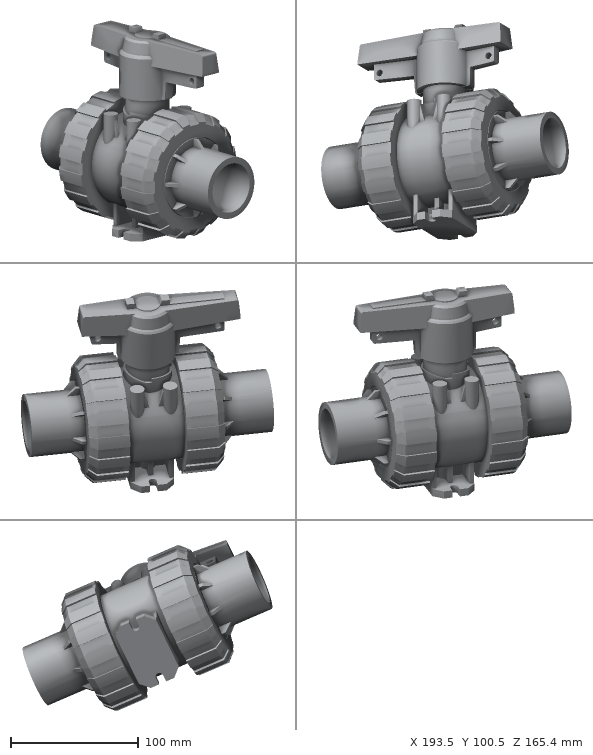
import cadquery as cq


total_length = 193.5
bore_radius = 20.0
pipe_radius = 25.0

nut_outer_radius = 50.5
nut_inner_end = 22.8
nut_outer_end = 54.4
nut_chamfer = 6.0
nut_bore_radius = 77.2 / 2
nut_mouth_radius = 65.0 / 2
nut_wall = 5.8
nut_slot_count = 16
nut_slot_width = 9.7
nut_slot_depth = 2.0

hub_radius = 32.0
collar_thickness = 7.7
fin_count = 8
fin_thickness = 2.7
fin_radius = 31.5
fin_start = 64.5
fin_full_height = 57.9

barrel_radius = 76.2 / 2
barrel_half_length = nut_outer_end - nut_wall - collar_thickness
neck_radius = 35.0 / 2
neck_top = 72.5

ratchet_radius = 19.4
ratchet_high = 46.0
ratchet_low = 42.5
ratchet_flat = 5.6
ratchet_count = 4

post_radius = 11.5 / 2
post_x = 13.2
post_y = 27.0
post_top = 43.3
gusset_thickness = 2.7
gusset_top = 38.9
gusset_foot = 25.7
gusset_reach = 3.7
gusset_offset = 2.1

foot_bottom = -56.1
foot_top = -50.0
foot_length = 34.6
foot_width = 56.9
foot_chamfer = 7.2
foot_notch_width = 6.2
foot_notch_depth = 8.9
side_plate_thickness = 3.5
side_plate_width = 41.5
web_thickness = 4.0
cross_web_width = 29.0
foot_boss_radius = 6.2

skirt_radius = 22.3
skirt_bottom = 57.3
shoulder_bottom = 91.1
shoulder_top = 92.7
shoulder_radius = 21.0
cone_bottom = 93.7
cone_bottom_radius = 20.0
cone_top = 103.0
cone_top_radius = 18.0
crown_radius = 16.0
hub_slot_width = 10.0
hub_slot_top = 86.5

grip_top = 104.5
grip_bottom = 85.1
grip_left = -54.4
grip_right = 73.0
grip_left_bottom = 87.3
grip_right_bottom = 87.7
grip_end_lean = 1.4
grip_end_lip = 1.7
grip_end_round = 1.7
grip_half_width_top = 12.0
grip_half_width_bottom = 14.3
grip_plan_slope = 0.067

key_width = 8.1
key_left = -45.7
key_right = 61.0
key_end_bottom = 74.3
key_round = 1.7
key_hole_diameter = 5.5
key_hole_left = -40.5
key_hole_right = 55.7
key_hole_z = 79.5
tab_left = -24.2
tab_right = 25.5
tab_right_foot = 24.4
tab_chamfer = 1.0
cap_radius = 10.0
cap_top = 105.5
lug_top = 109.3
lug_outer = 17.2
lug_inner_top = 10.8
lug_inner_foot = 9.3


def cylinder_x(radius, x_start, x_end):
    return cq.Workplane("YZ").workplane(offset=x_start).circle(radius).extrude(x_end - x_start)


def cylinder_z(radius, z_start, z_end, x=0.0, y=0.0):
    return cq.Workplane("XY").workplane(offset=z_start).center(x, y).circle(radius).extrude(z_end - z_start)


def block(x_size, y_size, z_start, z_end, x=0.0, y=0.0):
    outline = cq.Workplane("XY").workplane(offset=z_start).center(x, y).rect(x_size, y_size)
    return outline.extrude(z_end - z_start)


def plate_xz(points, thickness):
    """Flat plate with its outline in the XZ plane, centred on Y = 0."""
    return cq.Workplane("XZ").polyline(points).close().extrude(thickness / 2, both=True)


def turned_about_z(shape, angle):
    return shape.rotate((0, 0, 0), (0, 0, 1), angle)


def turned_about_x(shape, angle):
    return shape.rotate((0, 0, 0), (1, 0, 0), angle)



def make_nut():
    """Nut on the -X end, with grip slots that follow its chamfered profile."""
    chamfer_end = nut_outer_end - nut_chamfer
    face_radius = nut_outer_radius - nut_chamfer
    nut = (
        cq.Workplane("XZ")
        .polyline([
            (-nut_inner_end, 0),
            (-nut_inner_end, nut_outer_radius),
            (-chamfer_end, nut_outer_radius),
            (-nut_outer_end, face_radius),
            (-nut_outer_end, 0),
        ])
        .close()
        .revolve(360, (0, 0, 0), (1, 0, 0))
    )
    nut = nut.cut(cylinder_x(nut_bore_radius, nut_wall - nut_outer_end, -nut_inner_end))
    nut = nut.cut(cylinder_x(nut_mouth_radius, -nut_outer_end, -nut_inner_end))

    beyond = 2 * nut_outer_radius
    slot = plate_xz(
        [
            (-nut_inner_end, nut_outer_radius - nut_slot_depth),
            (-chamfer_end, nut_outer_radius - nut_slot_depth),
            (-nut_outer_end, face_radius - nut_slot_depth),
            (-nut_outer_end, beyond),
            (-nut_inner_end, beyond),
        ],
        nut_slot_width,
    )
    for index in range(nut_slot_count):
        nut = nut.cut(turned_about_x(slot, index * 360 / nut_slot_count))
    return nut



def make_connector():
    """Pipe end on the -X side: pipe, hub in the nut mouth, and collar held behind the nut wall."""
    collar_outer = nut_wall - nut_outer_end
    connector = cylinder_x(pipe_radius, -total_length / 2, -barrel_half_length)
    connector = connector.union(cylinder_x(hub_radius, -nut_outer_end, -barrel_half_length))
    connector = connector.union(cylinder_x(barrel_radius, collar_outer, -barrel_half_length))

    root_radius = (bore_radius + pipe_radius) / 2
    fin = plate_xz(
        [
            (-fin_start, root_radius),
            (-fin_start, pipe_radius),
            (-fin_full_height, fin_radius),
            (collar_outer, fin_radius),
            (collar_outer, root_radius),
        ],
        fin_thickness,
    )
    for index in range(fin_count):
        connector = connector.union(turned_about_x(fin, index * 360 / fin_count))
    return connector.cut(cylinder_x(bore_radius, -total_length / 2, 0))



def make_ratchet():
    """Ring of four ramps, each a quarter turn long and ending in a step."""
    ring = cylinder_z(ratchet_radius, 0, ratchet_high)
    ramp = (
        cq.Workplane("XZ")
        .polyline([
            (0, 0),
            (ratchet_radius, 0),
            (ratchet_radius, ratchet_high),
            (ratchet_flat, ratchet_low),
            (0, ratchet_low),
        ])
        .close()
        .extrude(-ratchet_radius)
        .intersect(ring)
    )
    ratchet = ramp
    for index in range(1, ratchet_count):
        ratchet = ratchet.union(turned_about_z(ramp, index * 360 / ratchet_count))
    return ratchet


def make_gusset():
    """Tapered gusset against a post at the origin, pointing along +X and carried down into the barrel."""
    inside = post_radius / 2
    return plate_xz(
        [
            (inside, 0),
            (inside, gusset_top),
            (post_radius, gusset_top),
            (post_radius + gusset_reach, gusset_foot),
            (post_radius + gusset_reach, 0),
        ],
        gusset_thickness,
    )


def make_post():
    """Post in the -X, -Y corner, with gussets toward both middle planes."""
    gusset = make_gusset()
    post = cylinder_z(post_radius, 0, post_top)
    post = post.union(gusset)
    post = post.union(turned_about_z(gusset, 90).translate((-gusset_offset, 0, 0)))
    return post.translate((-post_x, -post_y, 0))


def make_foot():
    """Notched, chamfered pad joined to the barrel by plates, webs and a central boss."""
    foot = block(foot_length, foot_width, foot_bottom, foot_top).edges("|Z").chamfer(foot_chamfer)
    notch_radius = foot_notch_width / 2
    notch_end = foot_width / 2 - foot_notch_depth + notch_radius
    for side in (-1, 1):
        foot = foot.cut(cylinder_z(notch_radius, foot_bottom, foot_top, 0, side * notch_end))
        foot = foot.cut(block(
            foot_notch_width, foot_width / 2, foot_bottom, foot_top,
            0, side * (notch_end + foot_width / 4),
        ))
        plate_x = side * (foot_length - side_plate_thickness) / 2
        foot = foot.union(block(side_plate_thickness, side_plate_width, foot_bottom, 0, plate_x))
    foot = foot.union(block(foot_length, web_thickness, foot_top, 0))
    foot = foot.union(block(web_thickness, cross_web_width, foot_top, 0))
    return foot.union(cylinder_z(foot_boss_radius, foot_top, 0))


def make_body():
    body = cylinder_x(barrel_radius, -barrel_half_length, barrel_half_length)
    body = body.union(cylinder_z(neck_radius, 0, neck_top))
    body = body.union(make_ratchet())
    post = make_post()
    post_pair = post.union(post.mirror("YZ"))
    body = body.union(post_pair).union(post_pair.mirror("XZ"))
    body = body.union(make_foot())
    return body.cut(cylinder_x(bore_radius, -barrel_half_length, barrel_half_length))



def make_handle_hub():
    hub = (
        cq.Workplane("XZ")
        .polyline([
            (0, skirt_bottom),
            (skirt_radius, skirt_bottom),
            (skirt_radius, shoulder_bottom),
            (shoulder_radius, shoulder_top),
            (cone_bottom_radius, cone_bottom),
            (cone_top_radius, cone_top),
            (crown_radius, grip_top),
            (0, grip_top),
        ])
        .close()
        .revolve(360, (0, 0, 0), (0, 1, 0))
    )
    return hub.cut(block(3 * skirt_radius, hub_slot_width, skirt_bottom, hub_slot_top))


def grip_plan(half_width):
    """Six-sided plan, widest at the stem and longer than the grip at both ends."""
    reach = grip_right + grip_end_round
    end_half_width = half_width - grip_plan_slope * reach
    return [
        (-reach, -end_half_width),
        (0, -half_width),
        (reach, -end_half_width),
        (reach, end_half_width),
        (0, half_width),
        (-reach, end_half_width),
    ]


def make_grip():
    """Bar with leaning flanks, trimmed to its side outline and rounded over both ends."""
    flanks = (
        cq.Workplane("XY")
        .workplane(offset=grip_bottom)
        .polyline(grip_plan(grip_half_width_bottom))
        .close()
        .workplane(offset=grip_top - grip_bottom)
        .polyline(grip_plan(grip_half_width_top))
        .close()
        .loft(ruled=True)
    )
    side_outline = plate_xz(
        [
            (grip_left, grip_left_bottom),
            (grip_left, grip_left_bottom + grip_end_lip),
            (grip_left + grip_end_lean, grip_top),
            (grip_right - grip_end_lean, grip_top),
            (grip_right, grip_right_bottom + grip_end_lip),
            (grip_right, grip_right_bottom),
            (0, grip_bottom),
        ],
        3 * grip_half_width_bottom,
    )
    top_ends = side_outline.faces(">Z").edges("|Y")
    return flanks.intersect(top_ends.fillet(grip_end_round))


def make_key_plate():
    """Thin plate under the grip with a tab on each side of the neck and a hole near each end."""
    upper = plate_xz(
        [
            (key_left, key_end_bottom),
            (tab_left, neck_top),
            (tab_right, neck_top),
            (key_right, key_end_bottom),
            (key_right, shoulder_bottom),
            (key_left, shoulder_bottom),
        ],
        key_width,
    )
    lower_ends = cq.selectors.BoxSelector(
        (key_left - 2, -key_width, key_end_bottom - 2),
        (key_right + 2, key_width, key_end_bottom + 2),
    )
    upper = upper.edges("|Y").edges("<X or >X").edges(lower_ends).fillet(key_round)
    tab = plate_xz(
        [
            (tab_left, neck_top),
            (tab_left, skirt_bottom + tab_chamfer),
            (tab_left + tab_chamfer, skirt_bottom),
            (tab_right_foot - tab_chamfer, skirt_bottom),
            (tab_right_foot, skirt_bottom + tab_chamfer),
            (tab_right, neck_top),
        ],
        key_width,
    )
    holes = (
        cq.Workplane("XZ")
        .pushPoints([(key_hole_left, key_hole_z), (key_hole_right, key_hole_z)])
        .circle(key_hole_diameter / 2)
        .extrude(key_width, both=True)
    )
    return upper.union(tab).cut(holes)


def make_lug():
    """Lug beside the cap on the +X side."""
    return plate_xz(
        [
            (lug_inner_foot, grip_top),
            (lug_inner_foot, cap_top),
            (lug_inner_top, lug_top),
            (lug_outer, lug_top),
            (lug_outer, grip_top),
        ],
        key_width,
    )


def make_handle():
    handle = make_handle_hub().union(make_grip()).union(make_key_plate())
    handle = handle.union(cylinder_z(cap_radius, grip_top, cap_top))
    handle = handle.union(block(key_right, key_width, grip_top, cap_top, key_right / 2))
    lug = make_lug()
    handle = handle.union(lug).union(turned_about_z(lug, 180))
    return handle.cut(cylinder_z(neck_radius, skirt_bottom, neck_top))



body = make_body()
handle = make_handle()
end_turns = (0, 180)
nuts = [turned_about_z(make_nut(), angle) for angle in end_turns]
connectors = [turned_about_z(make_connector(), angle) for angle in end_turns]

result = cq.Compound.makeCompound([
    body.val(),
    handle.val(),
    *[nut.val() for nut in nuts],
    *[connector.val() for connector in connectors],
])